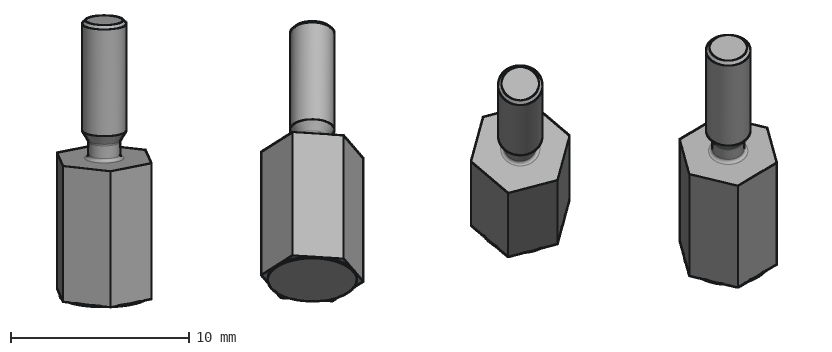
import math

import cadquery as cq

total_height = 16.0
hex_sides = 6
across_flats = 5.0
across_corners = across_flats / math.cos(math.pi / hex_sides)
body_top = 8.0
foot_height = 0.1
foot_diameter = across_flats

stud_diameter = 2.5
tip_chamfer = 0.2
neck_diameter = 1.8
neck_fillet = 0.2
undercut_length = 1.6
cone_angle = math.radians(30)

stud_radius = stud_diameter / 2
neck_radius = neck_diameter / 2
cone_end = body_top + undercut_length
cone_start = cone_end - (stud_radius - neck_radius) / math.tan(cone_angle)


def hex_body():
    """Hexagonal prism standing on the foot."""
    return (
        cq.Workplane("XY")
        .workplane(offset=foot_height)
        .polygon(hex_sides, across_corners)
        .extrude(body_top - foot_height)
    )


def foot():
    """Thin round disc as wide as the flats."""
    return cq.Workplane("XY").circle(foot_diameter / 2).extrude(foot_height)


def stud():
    """Revolved stud: root fillet, neck, blended cone, shank and chamfered tip."""
    tangent_length = neck_fillet * math.tan(cone_angle / 2)
    blend_start = cone_start - tangent_length
    blend_centre_radius = neck_radius + neck_fillet

    def blend_point(angle):
        return (
            blend_centre_radius - neck_fillet * math.cos(angle),
            blend_start + neck_fillet * math.sin(angle),
        )

    root_middle = (
        neck_radius + neck_fillet * (1 - math.cos(math.pi / 4)),
        body_top + neck_fillet * (1 - math.sin(math.pi / 4)),
    )
    return (
        cq.Workplane("XZ")
        .moveTo(0, body_top)
        .lineTo(neck_radius + neck_fillet, body_top)
        .threePointArc(root_middle, (neck_radius, body_top + neck_fillet))
        .lineTo(neck_radius, blend_start)
        .threePointArc(blend_point(cone_angle / 2), blend_point(cone_angle))
        .lineTo(stud_radius, cone_end)
        .lineTo(stud_radius, total_height - tip_chamfer)
        .lineTo(stud_radius - tip_chamfer, total_height)
        .lineTo(0, total_height)
        .close()
        .revolve(360, (0, 0), (0, 1))
    )


result = hex_body().union(foot()).union(stud())